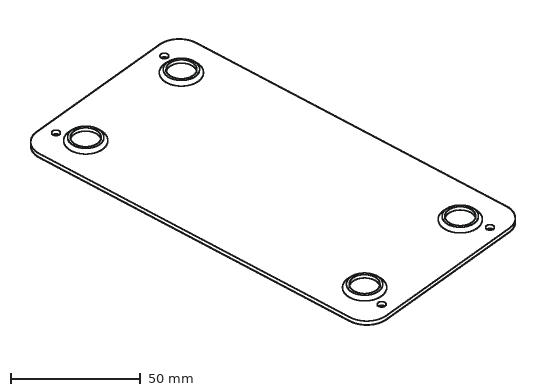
import cadquery as cq

length = 177.8
width = 92.5
total_height = 3.5
plate_thickness = 2.0
corner_radius = 10.0

hole_diameter = 3.4
hole_inset_x = 6.0
hole_inset_y = 14.2

foot_inset = 18.0
foot_base_diameter = 17.0
foot_top_diameter = 14.0
foot_height = total_height - plate_thickness
recess_diameter = 12.0
recess_depth = foot_height


def corner_points(inset_x, inset_y):
    """Four points set in from the plate edges, symmetric about the centre."""
    x = length / 2 - inset_x
    y = width / 2 - inset_y
    return [(sx * x, sy * y) for sx in (-1, 1) for sy in (-1, 1)]


def make_plate():
    """Rounded rectangular plate with four through holes."""
    plate = cq.Workplane("XY").rect(length, width).extrude(plate_thickness)
    plate = plate.edges("|Z").fillet(corner_radius)
    hole_points = corner_points(hole_inset_x, hole_inset_y)
    return plate.faces(">Z").workplane().pushPoints(hole_points).hole(hole_diameter)


def make_foot():
    """Hollow truncated cone standing on the plate."""
    foot = (
        cq.Workplane("XY")
        .workplane(offset=plate_thickness)
        .circle(foot_base_diameter / 2)
        .workplane(offset=foot_height)
        .circle(foot_top_diameter / 2)
        .loft(ruled=True)
    )
    return foot.faces(">Z").workplane().hole(recess_diameter, recess_depth)


result = make_plate()
foot = make_foot()
for x, y in corner_points(foot_inset, foot_inset):
    result = result.union(foot.translate((x, y, 0)))